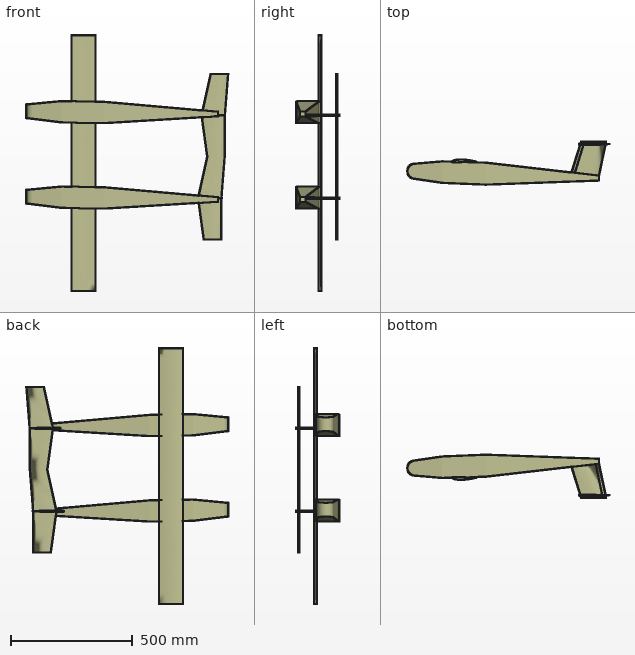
import cadquery as cq
import math


WING_SPAN = 1050.0
WING_CHORD = 100.0
WING_NOSE_X = 185.0
WING_NOSE_Y = 39.0
WING_THICKNESS_RATIO = 0.12
WING_CAMBER_RATIO = 0.04
CAMBER_PEAK = 0.4

NOSE_RADIUS = 32.0
NOSE_END_X = 25.0
SHOULDER_X = 144.0
WAIST_X = 322.0
TAIL_X = 788.0
SHOULDER_TOP = 41.0
SHOULDER_BOTTOM = -48.0
WAIST_TOP = 36.0
WAIST_BOTTOM = -56.0
TAIL_TOP = -18.0
TAIL_BOTTOM = -39.0
NOSE_HALF_WIDTH = 28.0
BODY_HALF_WIDTH = 44.0
TAIL_HALF_WIDTH = 9.0
NOSE_SHIFT = 2.0
WAIST_SHIFT = -3.0
TAIL_SHIFT = -9.0
FUSELAGE_POSITIONS = (211.0, -140.0)
EXTRUDE_WIDTH = 210.0

TAIL_THICKNESS_RATIO = 0.08
STABILIZER_Y = 111.0
STABILIZER_CENTER_Z = 26.0
STABILIZER_NOSE_X = 712.0
PANEL_SPAN = 170.0
ROOT_CHORD = 97.0
TIP_CHORD = 72.0
PANEL_SWEEP = 30.0
SKEW = 0.042
PANEL_COUNT = 4

FIN_BOTTOM_Y = TAIL_TOP
FIN_TOP_Y = 122.0
FIN_BOTTOM_NOSE_X = 677.0
FIN_TOP_NOSE_X = 720.0
FIN_BOTTOM_CHORD = 103.0
FIN_TOP_CHORD = 89.0
FIN_OFFSETS = (PANEL_SPAN, -PANEL_SPAN)

CHORD_STEPS = 12


def half_thickness(t, ratio):
    """NACA four-digit half thickness at chord fraction t, with a closed trailing edge."""
    return 5 * ratio * (0.2969 * math.sqrt(t) - 0.126 * t - 0.3516 * t**2 + 0.2843 * t**3 - 0.1036 * t**4)


def camber_height(t, ratio):
    """NACA four-digit camber height at chord fraction t."""
    reach = CAMBER_PEAK if t < CAMBER_PEAK else 1 - CAMBER_PEAK
    return ratio * (1 - ((t - CAMBER_PEAK) / reach) ** 2)


def airfoil(plane, nose_x, chord, thickness_ratio, camber_ratio=0.0):
    """Closed airfoil wire whose nose lies at nose_x along the plane's x direction."""
    fractions = [(1 - math.cos(math.pi * i / CHORD_STEPS)) / 2 for i in range(CHORD_STEPS + 1)]

    def point(t, side):
        height = camber_height(t, camber_ratio) + side * half_thickness(t, thickness_ratio)
        return plane.toWorldCoords((nose_x + t * chord, height * chord))

    trailing_edge = point(1, 0)
    upper = [point(t, 1) for t in fractions[1:-1]]
    lower = [point(t, -1) for t in fractions[1:-1]]
    outline = [trailing_edge] + upper[::-1] + [point(0, 0)] + lower + [trailing_edge]
    return cq.Wire.assembleEdges([cq.Edge.makeSpline(outline)])


def make_wing():
    plane = cq.Plane.XY(origin=(0, WING_NOSE_Y, -WING_SPAN / 2))
    section = airfoil(plane, WING_NOSE_X, WING_CHORD, WING_THICKNESS_RATIO, WING_CAMBER_RATIO)
    return cq.Workplane(cq.Solid.extrudeLinear(section, [], cq.Vector(0, 0, WING_SPAN)))


def make_fuselage(z):
    """Side outline and plan outline, each extruded, and the shape common to both."""
    nose_end_y = math.sqrt(NOSE_RADIUS**2 - (NOSE_RADIUS - NOSE_END_X) ** 2)
    side = (
        cq.Workplane("XY", origin=(0, 0, z))
        .moveTo(NOSE_END_X, -nose_end_y)
        .threePointArc((0, 0), (NOSE_END_X, nose_end_y))
        .lineTo(SHOULDER_X, SHOULDER_TOP)
        .lineTo(WAIST_X, WAIST_TOP)
        .lineTo(TAIL_X, TAIL_TOP)
        .lineTo(TAIL_X, TAIL_BOTTOM)
        .lineTo(WAIST_X, WAIST_BOTTOM)
        .lineTo(SHOULDER_X, SHOULDER_BOTTOM)
        .close()
        .extrude(EXTRUDE_WIDTH / 2, both=True)
    )
    stations = [
        (0, NOSE_SHIFT, NOSE_HALF_WIDTH),
        (SHOULDER_X, 0, BODY_HALF_WIDTH),
        (WAIST_X, WAIST_SHIFT, BODY_HALF_WIDTH),
        (TAIL_X, TAIL_SHIFT, TAIL_HALF_WIDTH),
    ]
    left_edge = [(x, shift + half) for x, shift, half in stations]
    right_edge = [(x, shift - half) for x, shift, half in stations]
    plan = (
        cq.Workplane("XZ", origin=(0, 0, z))
        .polyline(left_edge + right_edge[::-1])
        .close()
        .extrude(EXTRUDE_WIDTH / 2, both=True)
    )
    return side.intersect(plan)


def make_fin(offset):
    """Swept fin, lofted from its foot to its flat top."""
    sections = []
    for y, nose_x, chord in (
        (FIN_BOTTOM_Y, FIN_BOTTOM_NOSE_X, FIN_BOTTOM_CHORD),
        (FIN_TOP_Y, FIN_TOP_NOSE_X, FIN_TOP_CHORD),
    ):
        plane = cq.Plane.XZ(origin=(0, y, STABILIZER_CENTER_Z + offset))
        sections.append(airfoil(plane, nose_x + SKEW * offset, chord, TAIL_THICKNESS_RATIO))
    return cq.Workplane(cq.Solid.makeLoft(sections, True))


def make_stabilizer():
    """Ruled loft alternating between narrow tips and wide roots at the fins."""
    sections = []
    for i in range(PANEL_COUNT + 1):
        offset = (i - PANEL_COUNT / 2) * PANEL_SPAN
        at_fin = i % 2 == 1
        chord = ROOT_CHORD if at_fin else TIP_CHORD
        sweep = 0 if at_fin else PANEL_SWEEP
        plane = cq.Plane.XY(origin=(0, STABILIZER_Y, STABILIZER_CENTER_Z + offset))
        nose_x = STABILIZER_NOSE_X + sweep + SKEW * offset
        sections.append(airfoil(plane, nose_x, chord, TAIL_THICKNESS_RATIO))
    return cq.Workplane(cq.Solid.makeLoft(sections, True))


wing = make_wing()

fuselages = [make_fuselage(z).cut(wing) for z in FUSELAGE_POSITIONS]

fins = []
stabilizer = make_stabilizer()
for fin_offset, fuselage in zip(FIN_OFFSETS, fuselages):
    fin = make_fin(fin_offset).cut(fuselage)
    stabilizer = stabilizer.cut(fin)
    fins.append(fin)

result = cq.Compound.makeCompound(
    [
        wing.val(),
        *[fuselage.solids().val() for fuselage in fuselages],
        *[fin.solids().val() for fin in fins],
        stabilizer.solids().val(),
    ]
)